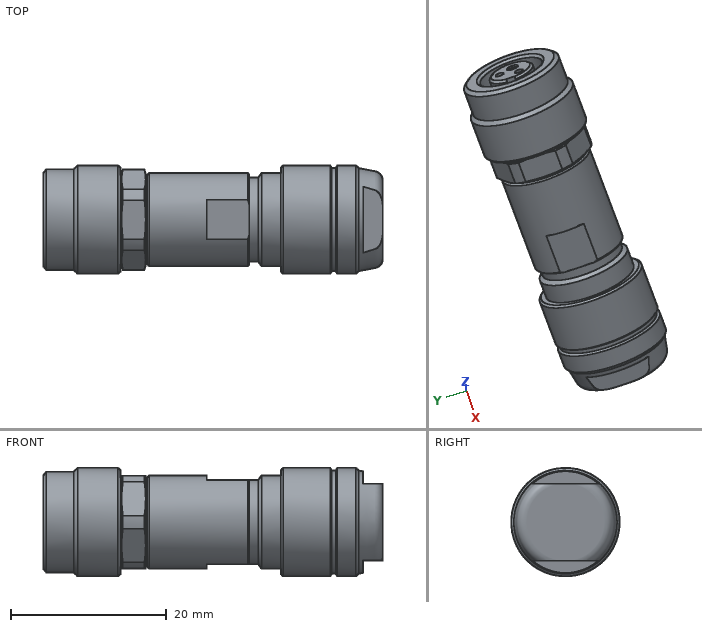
import cadquery as cq
import math


LENGTH = 43.7
GRIP_R = 14.0 / 2
GRIP_EDGE_R = 6.7
SLEEVE_R = 13.0 / 2
BODY_R = 12.0 / 2
BODY_EDGE_R = 5.75
NECK_R = 10.9 / 2

SLEEVE_FACE_R = 6.0
SLEEVE_CHAMFER = 0.45
SLEEVE_END = 3.95
FRONT_GRIP_START = 4.45
FRONT_GRIP_END = 9.95
FRONT_GRIP_CHAMFER = 0.35

NUT_START = 10.1
NUT_END = 13.2
NUT_ACROSS_FLATS = 11.98
NUT_CHAMFER = 0.17
NUT_CHAMFER_DROP = 0.55

BODY_START = 13.4
BODY_END = 26.55
BODY_CHAMFER = 0.2
BODY_FLAT_START = 21.05
BODY_FLAT_Z = NECK_R
NECK_END = 27.65
NECK_CHAMFER = 0.45

REAR_GRIP_START = 30.6
REAR_GRIP_CHAMFER = 0.25
GROOVE_START = 37.15
GROOVE_END = 37.65
GROOVE_CHAMFER = 0.2
RING_END = 40.2

CAP_START = 40.6
CAP_R = 6.65
CAP_TAPER_ANGLE = 11.0
CAP_FILLET = 1.25
CAP_FLAT_START = 41.17
CAP_FLAT_Z = 9.92 / 2

SOCKET_R = 8.5 / 2
SOCKET_CHAMFER = 0.35
SOCKET_STEP_R = 7.5 / 2
SOCKET_STEP_DEPTH = 4.0
SOCKET_DEPTH = 5.25

INSERT_R = 2.97
INSERT_CHAMFER = 0.3
INSERT_FACE_X = 0.1
KEYWAY_WIDTH = 1.15
KEYWAY_FLOOR_Z = -2.6
CONTACT_CENTERS_YZ = [(1.5, -0.05), (-1.15, -1.15)]
CONTACT_R = 1.1 / 2
CONTACT_DEPTH = 1.3
CONTACT_TIP_DEPTH = 0.25
RECESS_CENTER_YZ = (-0.25, 1.0)
RECESS_R = 1.5 / 2
RECESS_DEPTH = 0.25


def revolve_x(points):
    """Turn a half section of (x, radius) points about the X axis."""
    return cq.Workplane("XY").polyline(points).close().revolve(360, (0, 0, 0), (1, 0, 0))


def cylinder_x(x_start, x_end, radius, y=0, z=0):
    """Cylinder along X, centred at (y, z)."""
    return cq.Workplane("YZ", origin=(x_start, y, z)).circle(radius).extrude(x_end - x_start)


def turned_body():
    """Outside of the connector with the rear rim rounded."""
    cap_end_r = CAP_R - (LENGTH - CAP_START) * math.tan(math.radians(CAP_TAPER_ANGLE))
    sleeve_and_front_grip = [
        (0, 0),
        (0, SLEEVE_FACE_R),
        (SLEEVE_CHAMFER, SLEEVE_R),
        (SLEEVE_END, SLEEVE_R),
        (FRONT_GRIP_START, GRIP_R),
        (FRONT_GRIP_END - FRONT_GRIP_CHAMFER, GRIP_R),
        (FRONT_GRIP_END, GRIP_EDGE_R),
        (FRONT_GRIP_END, BODY_EDGE_R),
    ]
    body_and_neck = [
        (BODY_START, BODY_EDGE_R),
        (BODY_START + BODY_CHAMFER, BODY_R),
        (BODY_END - BODY_CHAMFER, BODY_R),
        (BODY_END, BODY_EDGE_R),
        (BODY_END, NECK_R),
        (NECK_END, NECK_R),
        (NECK_END + NECK_CHAMFER, BODY_R),
        (REAR_GRIP_START, BODY_R),
    ]
    rear_grip_and_cap = [
        (REAR_GRIP_START, GRIP_EDGE_R),
        (REAR_GRIP_START + REAR_GRIP_CHAMFER, GRIP_R),
        (GROOVE_START - GROOVE_CHAMFER, GRIP_R),
        (GROOVE_START, CAP_R),
        (GROOVE_END, CAP_R),
        (GROOVE_END + GROOVE_CHAMFER, GRIP_R),
        (RING_END, GRIP_R),
        (CAP_START, CAP_R),
        (LENGTH, cap_end_r),
        (LENGTH, 0),
    ]
    turned = revolve_x(sleeve_and_front_grip + body_and_neck + rear_grip_and_cap)
    return turned.faces(">X").edges().fillet(CAP_FILLET)


def hex_nut():
    """Hexagon with flats at top and bottom, rounded corners and chamfered ends."""
    across_corners = NUT_ACROSS_FLATS / math.cos(math.radians(30))
    prism = (
        cq.Workplane("YZ", origin=(NUT_START, 0, 0))
        .polygon(6, across_corners)
        .extrude(NUT_END - NUT_START)
    )
    end_r = SLEEVE_R - NUT_CHAMFER_DROP
    envelope = revolve_x([
        (NUT_START, 0),
        (NUT_START, end_r),
        (NUT_START + NUT_CHAMFER, SLEEVE_R),
        (NUT_END - NUT_CHAMFER, SLEEVE_R),
        (NUT_END, end_r),
        (NUT_END, 0),
    ])
    return prism.intersect(envelope)


def flat_cutters(x_start, x_end, flat_z):
    """Blocks that cut two parallel flats at Z = +flat_z and Z = -flat_z."""
    block = cq.Workplane("XY").box(
        x_end - x_start, 2 * GRIP_R, GRIP_R, centered=(False, True, False)
    )
    upper = block.translate((x_start, 0, flat_z))
    return upper.union(upper.mirror("XY"))


def socket():
    """Bore with a chamfered mouth and a narrower bottom step."""
    return revolve_x([
        (0, 0),
        (0, SOCKET_R + SOCKET_CHAMFER),
        (SOCKET_CHAMFER, SOCKET_R),
        (SOCKET_STEP_DEPTH, SOCKET_R),
        (SOCKET_STEP_DEPTH, SOCKET_STEP_R),
        (SOCKET_DEPTH, SOCKET_STEP_R),
        (SOCKET_DEPTH, 0),
    ])


def contact_hole():
    """Drilled contact hole with a conical bottom, its mouth at X = 0."""
    return revolve_x([
        (0, 0),
        (0, CONTACT_R),
        (CONTACT_DEPTH, CONTACT_R),
        (CONTACT_DEPTH + CONTACT_TIP_DEPTH, 0),
    ])


def contact_insert():
    """Round insert with a keyway underneath, contact holes and a shallow round recess."""
    insert = cylinder_x(INSERT_FACE_X, SOCKET_DEPTH, INSERT_R)
    insert = insert.faces("<X").chamfer(INSERT_CHAMFER)
    keyway = cq.Workplane("XY").box(
        SOCKET_DEPTH, KEYWAY_WIDTH, INSERT_R, centered=(False, True, False)
    )
    insert = insert.cut(keyway.translate((0, 0, KEYWAY_FLOOR_Z - INSERT_R)))
    for y, z in CONTACT_CENTERS_YZ:
        insert = insert.cut(contact_hole().translate((INSERT_FACE_X, y, z)))
    recess = cylinder_x(INSERT_FACE_X, INSERT_FACE_X + RECESS_DEPTH, RECESS_R, *RECESS_CENTER_YZ)
    return insert.cut(recess)


connector = turned_body().union(hex_nut())
connector = connector.cut(flat_cutters(BODY_FLAT_START, BODY_END, BODY_FLAT_Z))
connector = connector.cut(flat_cutters(CAP_FLAT_START, LENGTH, CAP_FLAT_Z))
connector = connector.cut(socket())
result = connector.union(contact_insert())